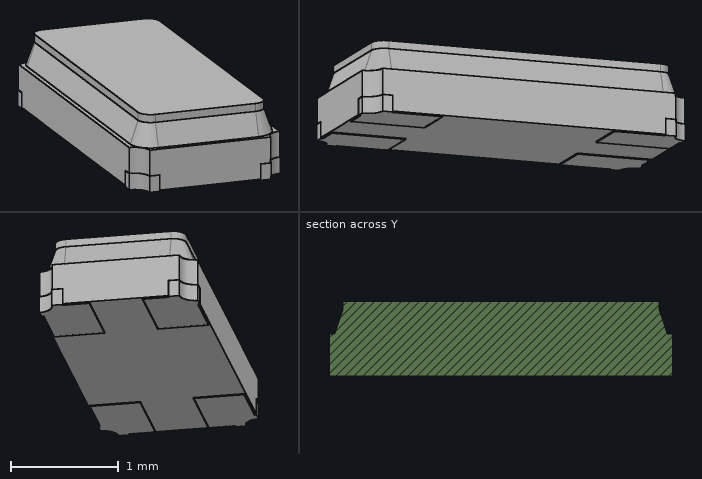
import cadquery as cq

length = 3.2
width = 1.5
height = 0.71

pad_overhang = 0.003
pad_drop = 0.01
base_length = length - 2 * pad_overhang
base_width = width - 2 * pad_overhang
base_top = 0.41
base_notch_radius = 0.15

pad_reach = 0.25
pad_wall_top = 0.16
pad_notch_radius = base_notch_radius - pad_overhang
foot_setback = 0.02
foot_length = 0.73
foot_width = 0.48

lid_length = 2.94
lid_width = 1.245
lid_corner_radius = 0.125
skirt_flare = 0.077
skirt_top = 0.635


def corner_block(x_side, y_side, outer_length, outer_width, reach_x, reach_y, top):
    """Block in one corner of a centred rectangle, reaching inward, standing on the bottom plane."""
    return (
        cq.Workplane("XY")
        .center(x_side * (outer_length - reach_x) / 2, y_side * (outer_width - reach_y) / 2)
        .rect(reach_x, reach_y)
        .extrude(top)
    )


def corner_pad(x_side, y_side):
    """Pad at one corner: a foot set back under the base and a block wrapping the walls."""
    foot = corner_block(
        x_side, y_side,
        length - 2 * foot_setback, width - 2 * foot_setback,
        foot_length, foot_width, pad_drop,
    )
    wall_block = corner_block(x_side, y_side, length, width, pad_reach, pad_reach, pad_wall_top)
    return foot.union(wall_block)


def corner_notches(radius, z_min, z_max):
    """Vertical cylinders centred on the four outer corners."""
    return (
        cq.Workplane("XY")
        .workplane(offset=z_min)
        .rect(length, width, forConstruction=True)
        .vertices()
        .circle(radius)
        .extrude(z_max - z_min)
    )


def lid_outline(z, growth):
    """Rounded lid outline at height z, grown by the same amount on every side."""
    return (
        cq.Sketch()
        .rect(lid_length + 2 * growth, lid_width + 2 * growth)
        .vertices()
        .fillet(lid_corner_radius + growth)
        .moved(cq.Location(cq.Vector(0, 0, z)))
    )


package = (
    cq.Workplane("XY")
    .workplane(offset=pad_drop)
    .rect(base_length, base_width)
    .extrude(base_top - pad_drop)
)
for x_side in (-1, 1):
    for y_side in (-1, 1):
        package = package.union(corner_pad(x_side, y_side))

package = package.cut(corner_notches(pad_notch_radius, 0, pad_wall_top))
package = package.cut(corner_notches(base_notch_radius, pad_wall_top, base_top))

rim = cq.Workplane("XY").placeSketch(lid_outline(skirt_top, 0)).extrude(height - skirt_top)
skirt = (
    cq.Workplane("XY")
    .placeSketch(lid_outline(base_top, skirt_flare), lid_outline(skirt_top, 0))
    .loft()
)
result = package.union(skirt).union(rim)